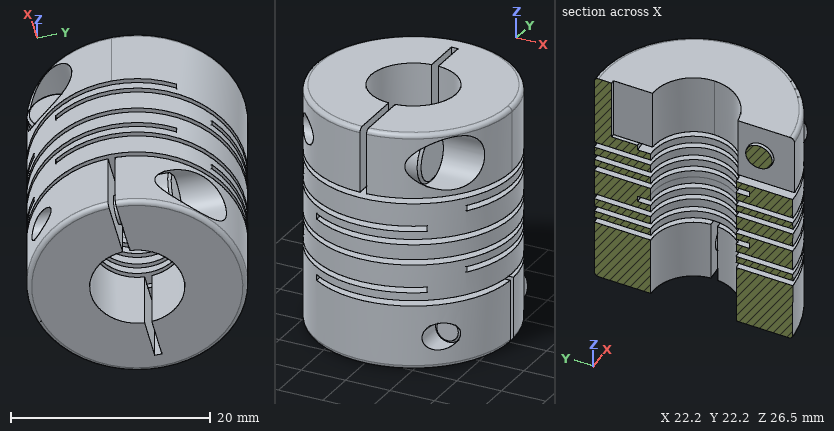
import cadquery as cq


length = 26.5
outer_diameter = 22.2
bore_diameter = 9.55
rim_fillet = 0.5
outer_radius = outer_diameter / 2
half_length = length / 2

slot_width = 0.6
slot_depth_past_axis = 6.23
stage_offset = 3.45
pair_offset = 1.56
slot_offset = 0.75
pair_angles = {1: (0, 180), -1: (270, 90)}

slit_width = 0.75
slit_depth_past_axis = 9.12

screw_to_end = 3.6
screw_to_axis = 7.3
shank_diameter = 3.0
head_diameter = 5.5
head_length = 3.0
head_end = 5.83
tip_end = 6.75
screw_chamfer = 0.3
counterbore_diameter = 5.94

screw_height = half_length - screw_to_end
slit_floor = stage_offset + pair_offset + slot_offset + slot_width / 2
head_seat = head_end - head_length


def make_body():
    """Tube with rounded outer rims."""
    tube = cq.Workplane("XY").circle(outer_radius).extrude(half_length, both=True)
    tube = tube.faces("<Z or >Z").edges().fillet(rim_fillet)
    bore = cq.Workplane("XY").circle(bore_diameter / 2).extrude(half_length, both=True)
    return tube.cut(bore)


def make_side_cut(width, depth_past_axis, bottom, top):
    """Box open to -Y that reaches past the axis to the given depth on +Y."""
    return (
        cq.Workplane("XY")
        .box(width, outer_radius + depth_past_axis, top - bottom, centered=(True, False, False))
        .translate((0, -outer_radius, bottom))
    )


def make_flexure_slot(height, angle):
    """Slot centred on a height, turned about Z from its -Y opening."""
    bottom = height - slot_width / 2
    slot = make_side_cut(outer_diameter, slot_depth_past_axis, bottom, bottom + slot_width)
    return slot.rotate((0, 0, 0), (0, 0, 1), angle)


def make_x_cylinder(diameter, start, end):
    """Cylinder on the axis of the upper clamp screw, running from start to end in X."""
    return (
        cq.Workplane("YZ", origin=(start, -screw_to_axis, screw_height))
        .circle(diameter / 2)
        .extrude(end - start)
    )


def make_clamp_cut():
    """Slit, screw hole and counterbore of the upper clamp."""
    slit = make_side_cut(slit_width, slit_depth_past_axis, slit_floor, half_length)
    hole = make_x_cylinder(shank_diameter, -outer_radius, head_seat)
    counterbore = make_x_cylinder(counterbore_diameter, head_seat, outer_radius)
    return slit.union(hole).union(counterbore)


def make_clamp_screw():
    """Screw of the upper clamp, with a chamfered head and tip."""
    shank = make_x_cylinder(shank_diameter, -tip_end, head_seat)
    shank = shank.faces("<X").chamfer(screw_chamfer)
    head = make_x_cylinder(head_diameter, head_seat, head_end)
    head = head.faces(">X").chamfer(screw_chamfer)
    return shank.union(head)


def to_lower_clamp(shape):
    """Carry an upper clamp shape to the lower hub: flipped in Z and turned a quarter."""
    return shape.mirror("XY").rotate((0, 0, 0), (0, 0, 1), 90)


result = make_body()

for stage_side in (1, -1):
    for pair_side, angles in pair_angles.items():
        for slot_side, angle in zip((1, -1), angles):
            slot_height = (
                stage_side * stage_offset + pair_side * pair_offset + slot_side * slot_offset
            )
            result = result.cut(make_flexure_slot(slot_height, angle))

clamp_cut = make_clamp_cut()
clamp_screw = make_clamp_screw()
result = result.cut(clamp_cut).union(clamp_screw)
result = result.cut(to_lower_clamp(clamp_cut)).union(to_lower_clamp(clamp_screw))